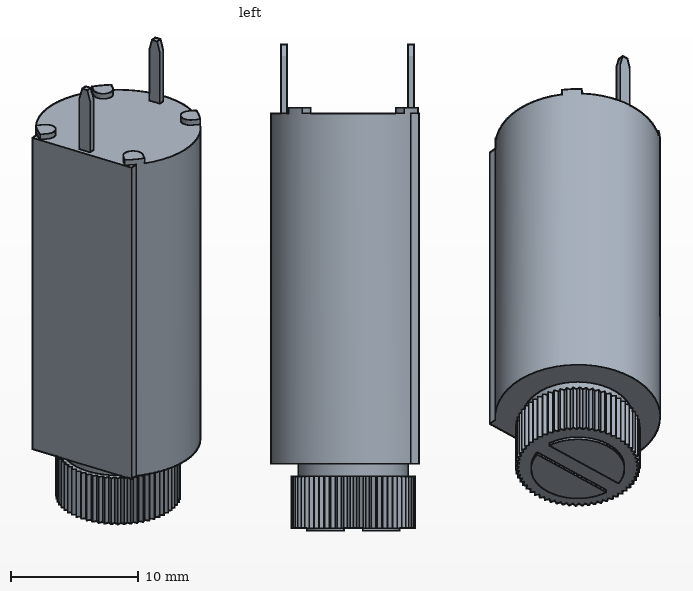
import cadquery as cq
import math

NUB_HEIGHT = 0.23
KNOB_HEIGHT = 4.05
COLLAR_HEIGHT = 1.0
BODY_HEIGHT = 27.58
PAD_HEIGHT = 0.45
OVERALL_HEIGHT = 38.3

BODY_DIAMETER = 13.0
COLLAR_DIAMETER = 8.7
KNOB_DIAMETER = 9.8
NUB_DIAMETER = 7.35
NUB_SLOT_WIDTH = 1.45

BODY_DEPTH = 11.7
BASE_WIDTH = 9.35

KNURL_COUNT = 60
GROOVE_ANGLE = 90.0

PAD_WIDTH = 1.57
PAD_LENGTH = 1.45
PAD_ANGLES = (45, 135, 225, 315)

PIN_WIDTH = 1.0
PIN_THICKNESS = 0.5
PIN_TIP_WIDTH = 0.5
PIN_TAPER_LENGTH = 0.92
PIN_SPACING = 10.0
PIN_CENTER_Y = 0.45

knob_bottom = NUB_HEIGHT
collar_bottom = knob_bottom + KNOB_HEIGHT
body_bottom = collar_bottom + COLLAR_HEIGHT
body_top = body_bottom + BODY_HEIGHT

body_radius = BODY_DIAMETER / 2


def disc(diameter, bottom, height):
    return cq.Workplane("XY").workplane(offset=bottom).circle(diameter / 2).extrude(height)


def make_body():
    """Cylinder whose -Y side is squared off into a flat base."""
    base_y = body_radius - BODY_DEPTH
    half_base = BASE_WIDTH / 2
    side_y = -math.sqrt(body_radius**2 - half_base**2)
    return (
        cq.Workplane("XY")
        .workplane(offset=body_bottom)
        .moveTo(-half_base, base_y)
        .lineTo(half_base, base_y)
        .lineTo(half_base, side_y)
        .threePointArc((0, body_radius), (-half_base, side_y))
        .close()
        .extrude(BODY_HEIGHT)
    )


def make_knob():
    """Knurled knob, with a groove root facing each of the X and Y directions."""
    half_pitch = math.pi / KNURL_COUNT
    crest_radius = KNOB_DIAMETER / 2
    half_groove_width = crest_radius * math.sin(half_pitch)
    groove_depth = half_groove_width / math.tan(math.radians(GROOVE_ANGLE / 2))
    root_radius = crest_radius * math.cos(half_pitch) - groove_depth
    points = []
    for index in range(2 * KNURL_COUNT):
        radius = crest_radius if index % 2 else root_radius
        angle = index * half_pitch
        points.append((radius * math.cos(angle), radius * math.sin(angle)))
    return cq.Workplane("XY").workplane(offset=knob_bottom).polyline(points).close().extrude(KNOB_HEIGHT)


def make_nub():
    """Shallow disc under the knob, split by a slot along X."""
    slot = cq.Workplane("XY").box(NUB_DIAMETER, NUB_SLOT_WIDTH, NUB_HEIGHT, centered=(True, True, False))
    return disc(NUB_DIAMETER, 0, NUB_HEIGHT).cut(slot)


def make_pad(angle):
    """Pad with its outer end flush with the body wall and a round inner end."""
    half_width = PAD_WIDTH / 2
    outer_corner = math.sqrt(body_radius**2 - half_width**2)
    inner = body_radius - PAD_LENGTH
    arc_start = inner + half_width
    return (
        cq.Workplane("XY")
        .workplane(offset=body_top)
        .moveTo(outer_corner, -half_width)
        .threePointArc((body_radius, 0), (outer_corner, half_width))
        .lineTo(arc_start, half_width)
        .threePointArc((inner, 0), (arc_start, -half_width))
        .close()
        .extrude(PAD_HEIGHT)
        .rotate((0, 0, 0), (0, 0, 1), angle)
    )


def make_pin(center_y):
    """Flat pin standing on the top face, narrowing in X at its tip."""
    half_width = PIN_WIDTH / 2
    half_tip = PIN_TIP_WIDTH / 2
    shoulder = OVERALL_HEIGHT - PIN_TAPER_LENGTH
    outline = [
        (-half_width, body_top),
        (half_width, body_top),
        (half_width, shoulder),
        (half_tip, OVERALL_HEIGHT),
        (-half_tip, OVERALL_HEIGHT),
        (-half_width, shoulder),
    ]
    return (
        cq.Workplane("XZ", origin=(0, center_y, 0))
        .polyline(outline)
        .close()
        .extrude(PIN_THICKNESS / 2, both=True)
    )


result = make_body()
result = result.union(disc(COLLAR_DIAMETER, collar_bottom, COLLAR_HEIGHT))
result = result.union(make_knob())
result = result.union(make_nub())
for pad_angle in PAD_ANGLES:
    result = result.union(make_pad(pad_angle))
for side in (-1, 1):
    result = result.union(make_pin(PIN_CENTER_Y + side * PIN_SPACING / 2))